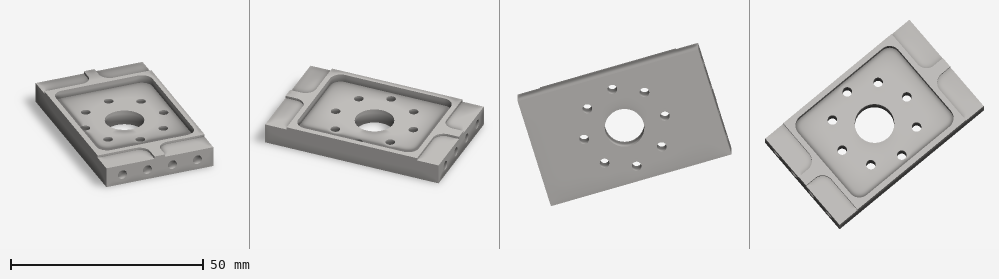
import cadquery as cq
import math

length = 49.0
width = 30.0
height = 6.25

pocket_length = 34.1
pocket_width = 27.1
pocket_corner_radius = 3.0
pocket_depth = 2.2

step_length = 6.1
step_depth = 0.7
step_corner_radius = 3.0
web_width = 3.0
step_width = (width - web_width) / 2

bore_diameter = 10.3
bolt_circle_radius = 11.0
bolt_count = 8
hole_diameter = 2.5

end_hole_count = 4
end_hole_pitch = 7.0
end_hole_height = 2.8
end_hole_depth = 6.0
drill_point_angle = 118.0


def corner_step(side_x, side_y):
    """Cutter for one corner step, with its inner corner rounded."""
    inner_x = "<X" if side_x > 0 else ">X"
    inner_y = "<Y" if side_y > 0 else ">Y"
    return (
        cq.Workplane("XY")
        .box(step_length, step_width, step_depth)
        .edges("|Z")
        .edges(inner_x)
        .edges(inner_y)
        .fillet(step_corner_radius)
        .translate(
            (
                side_x * (length - step_length) / 2,
                side_y * (width - step_width) / 2,
                height - step_depth / 2,
            )
        )
    )


def end_hole(side_x, y):
    """Cutter for one blind hole with a conical drill point, entering an end face."""
    radius = hole_diameter / 2
    point_length = radius / math.tan(math.radians(drill_point_angle / 2))
    face_x = side_x * length / 2
    shoulder_x = face_x - side_x * end_hole_depth
    tip_x = shoulder_x - side_x * point_length
    return (
        cq.Workplane("XY")
        .polyline([(face_x, 0), (face_x, radius), (shoulder_x, radius), (tip_x, 0)])
        .close()
        .revolve(360, (0, 0, 0), (1, 0, 0))
        .translate((0, y, end_hole_height))
    )


result = cq.Workplane("XY").box(length, width, height, centered=(True, True, False))

pocket = (
    cq.Workplane("XY")
    .workplane(offset=height - pocket_depth)
    .rect(pocket_length, pocket_width)
    .extrude(pocket_depth)
    .edges("|Z")
    .fillet(pocket_corner_radius)
)
result = result.cut(pocket)

floor_holes = (
    cq.Workplane("XY")
    .polarArray(bolt_circle_radius, 0, 360, bolt_count)
    .circle(hole_diameter / 2)
    .extrude(height)
)
bore = cq.Workplane("XY").circle(bore_diameter / 2).extrude(height)
result = result.cut(floor_holes).cut(bore)

for side_x in (-1, 1):
    for side_y in (-1, 1):
        result = result.cut(corner_step(side_x, side_y))
    for index in range(end_hole_count):
        y = (index - (end_hole_count - 1) / 2) * end_hole_pitch
        result = result.cut(end_hole(side_x, y))